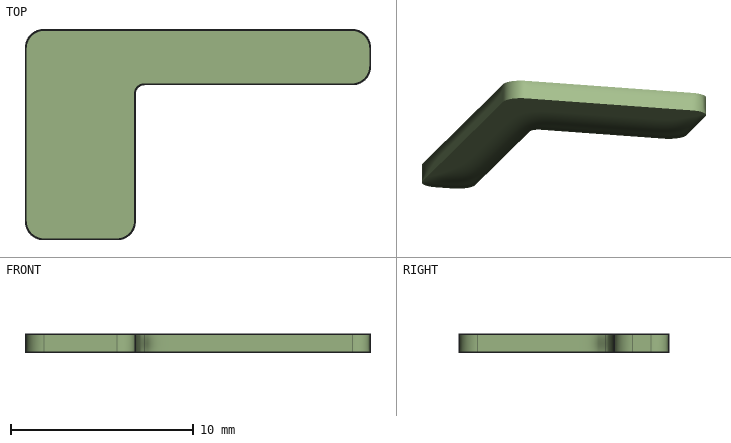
import cadquery as cq

length_x = 18.9
length_y = 11.5
thickness = 1.0

leg_width = 6.0
arm_width = 3.0

outer_radius = 1.0
inner_radius = 0.5

arm_bottom = length_y - arm_width


def l_plate():
    """Sharp-cornered L: a leg along Y with an arm along X at its +Y end."""
    return (
        cq.Workplane("XY")
        .polyline([
            (0, 0),
            (leg_width, 0),
            (leg_width, arm_bottom),
            (length_x, arm_bottom),
            (length_x, length_y),
            (0, length_y),
        ])
        .close()
        .extrude(thickness)
    )


def round_corners(plate):
    """Round the inside corner first, then the five outside corners."""
    mid_height = thickness / 2
    inside_corner = cq.selectors.NearestToPointSelector((leg_width, arm_bottom, mid_height))
    plate = plate.edges(inside_corner).fillet(inner_radius)

    outside_corners = [
        (0, 0),
        (leg_width, 0),
        (length_x, arm_bottom),
        (length_x, length_y),
        (0, length_y),
    ]
    for x, y in outside_corners:
        corner = cq.selectors.NearestToPointSelector((x, y, mid_height))
        plate = plate.edges(corner).fillet(outer_radius)
    return plate


result = round_corners(l_plate())